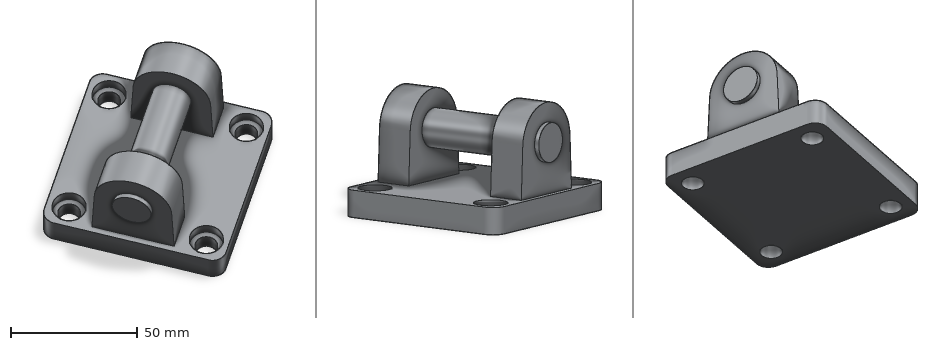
import cadquery as cq
import math

plate_side = 75.0
plate_thickness = 11.0
corner_radius = 5.5

hole_spacing = 56.55
hole_diameter = 9.0
counterbore_diameter = 13.5
counterbore_depth = 4.5

total_height = 48.0
lug_radius = 16.0
lug_foot_width = 33.9
lug_gap = 40.0
lug_thickness = 15.0
pin_diameter = 16.0
pin_length = 74.1
axis_height = total_height - lug_radius


def make_plate():
    """Square plate with rounded corners and four counterbored holes."""
    plate = cq.Workplane("XY").box(plate_side, plate_side, plate_thickness, centered=(True, True, False))
    plate = plate.edges("|Z").fillet(corner_radius)
    return (
        plate.faces(">Z").workplane()
        .rect(hole_spacing, hole_spacing, forConstruction=True)
        .vertices()
        .cboreHole(hole_diameter, counterbore_diameter, counterbore_depth)
    )


def make_lug(rear_y):
    """Round-topped lug whose flanks run tangent from the foot to the crown."""
    half_foot = lug_foot_width / 2
    axis_rise = axis_height - plate_thickness
    foot_distance = math.hypot(half_foot, axis_rise)
    tangent_angle = math.acos(lug_radius / foot_distance) - math.atan2(axis_rise, half_foot)
    tangent_x = lug_radius * math.cos(tangent_angle)
    tangent_z = axis_height + lug_radius * math.sin(tangent_angle)
    return (
        cq.Workplane("XZ", origin=(0, rear_y, 0))
        .moveTo(-half_foot, plate_thickness)
        .lineTo(half_foot, plate_thickness)
        .lineTo(tangent_x, tangent_z)
        .threePointArc((0, total_height), (-tangent_x, tangent_z))
        .close()
        .extrude(lug_thickness)
    )


def make_pin():
    """Pin centred on the plate, with its axis along Y."""
    return (
        cq.Workplane("XZ", origin=(0, 0, axis_height))
        .circle(pin_diameter / 2)
        .extrude(pin_length / 2, both=True)
    )


result = make_plate()
for lug_rear_y in (-lug_gap / 2, lug_gap / 2 + lug_thickness):
    result = result.union(make_lug(lug_rear_y))
result = result.union(make_pin())